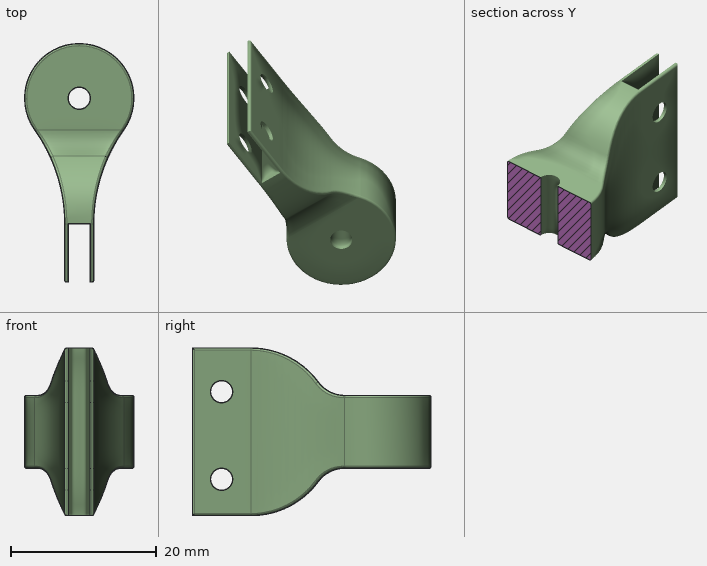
import cadquery as cq
import math

HEAD_RADIUS = 7.5
HEAD_HEIGHT = 10.0
PIVOT_HOLE_DIAMETER = 3.0
FORK_WIDTH = 4.0
FORK_HEIGHT = 23.0
FORK_LENGTH = 8.0
SLOT_WIDTH = 3.0
OVERALL_LENGTH = 32.71
FORK_HOLE_DIAMETER = 3.0
FORK_HOLE_SPACING = 12.0
FORK_HOLE_TOP_INSET = 6.0
EDGE_ROUND = 0.3

END_Y = HEAD_RADIUS - OVERALL_LENGTH
FORK_Y = END_Y + FORK_LENGTH
FORK_HOLE_Y = END_Y + FORK_LENGTH / 2

HALF_WIDTH = FORK_WIDTH / 2
HALF_HEAD_HEIGHT = HEAD_HEIGHT / 2
HALF_FORK_HEIGHT = FORK_HEIGHT / 2
UPPER_HOLE_Z = HALF_FORK_HEIGHT - FORK_HOLE_TOP_INSET
LOWER_HOLE_Z = UPPER_HOLE_Z - FORK_HOLE_SPACING

NECK_RADIUS = (HALF_WIDTH**2 + FORK_Y**2 - HEAD_RADIUS**2) / (2 * (HEAD_RADIUS - HALF_WIDTH))
NECK_ANGLE = math.atan2(-FORK_Y, HALF_WIDTH + NECK_RADIUS)
NECK_CENTER_X = HALF_WIDTH + NECK_RADIUS
NECK_START_X = HEAD_RADIUS * math.cos(NECK_ANGLE)
NECK_START_Y = -HEAD_RADIUS * math.sin(NECK_ANGLE)

SHOULDER_RUN = NECK_START_Y - FORK_Y
BLEND_RADIUS = (SHOULDER_RUN**2 + HALF_HEAD_HEIGHT**2 - HALF_FORK_HEIGHT**2) / (
    2 * (HALF_FORK_HEIGHT - HALF_HEAD_HEIGHT)
)
BLEND_CENTER_Z = HALF_HEAD_HEIGHT + BLEND_RADIUS
BLEND_ANGLE = math.atan2(BLEND_CENTER_Z, SHOULDER_RUN)


def on_arc(center, radius, angle):
    """Point at the given angle (radians) on a circle."""
    return (center[0] + radius * math.cos(angle), center[1] + radius * math.sin(angle))


def plan_solid():
    """Round head narrowing through the neck to the fork, extruded to the full height."""
    neck_mid_angle = math.pi - NECK_ANGLE / 2
    neck_mid_x, neck_mid_y = on_arc((NECK_CENTER_X, FORK_Y), NECK_RADIUS, neck_mid_angle)
    return (
        cq.Workplane("XY", origin=(0, 0, -HALF_FORK_HEIGHT))
        .moveTo(-HALF_WIDTH, END_Y)
        .lineTo(HALF_WIDTH, END_Y)
        .lineTo(HALF_WIDTH, FORK_Y)
        .threePointArc((neck_mid_x, neck_mid_y), (NECK_START_X, NECK_START_Y))
        .threePointArc((0, HEAD_RADIUS), (-NECK_START_X, NECK_START_Y))
        .threePointArc((-neck_mid_x, neck_mid_y), (-HALF_WIDTH, FORK_Y))
        .close()
        .extrude(FORK_HEIGHT)
    )


def side_solid():
    """Side outline: flat head, S-shaped shoulders and tall fork, extruded across the width."""
    shoulder_center = (FORK_Y, 0)
    blend_center = (NECK_START_Y, BLEND_CENTER_Z)
    blend_mid_angle = (BLEND_ANGLE - math.pi - math.pi / 2) / 2
    shoulder_mid_angle = (BLEND_ANGLE + math.pi / 2) / 2

    blend_mid = on_arc(blend_center, BLEND_RADIUS, blend_mid_angle)
    joint = on_arc(shoulder_center, HALF_FORK_HEIGHT, BLEND_ANGLE)
    shoulder_mid = on_arc(shoulder_center, HALF_FORK_HEIGHT, shoulder_mid_angle)

    def below(point):
        """Mirror a (y, z) point across the mid plane."""
        return (point[0], -point[1])

    return (
        cq.Workplane("YZ", origin=(-HEAD_RADIUS, 0, 0))
        .moveTo(HEAD_RADIUS, -HALF_HEAD_HEIGHT)
        .lineTo(HEAD_RADIUS, HALF_HEAD_HEIGHT)
        .lineTo(NECK_START_Y, HALF_HEAD_HEIGHT)
        .threePointArc(blend_mid, joint)
        .threePointArc(shoulder_mid, (FORK_Y, HALF_FORK_HEIGHT))
        .lineTo(END_Y, HALF_FORK_HEIGHT)
        .lineTo(END_Y, -HALF_FORK_HEIGHT)
        .lineTo(FORK_Y, -HALF_FORK_HEIGHT)
        .threePointArc(below(shoulder_mid), below(joint))
        .threePointArc(below(blend_mid), (NECK_START_Y, -HALF_HEAD_HEIGHT))
        .close()
        .extrude(2 * HEAD_RADIUS)
    )


def round_rim(body):
    """Round the head rims, the neck and fork edges, and the upright edges at the fork end."""
    rim_edges = "not (|X or |Z)"
    end_edges = "|Z and <Y"
    return body.edges(f"({rim_edges}) or ({end_edges})").fillet(EDGE_ROUND)


def fork_slot():
    """Slot that splits the fork into two thin cheeks."""
    return cq.Workplane("XY").box(SLOT_WIDTH, FORK_LENGTH, FORK_HEIGHT).translate((0, FORK_HOLE_Y, 0))


def pivot_hole():
    """Upright hole through the centre of the head."""
    return cq.Workplane("XY").circle(PIVOT_HOLE_DIAMETER / 2).extrude(HALF_HEAD_HEIGHT, both=True)


def fork_holes():
    """Two cross holes through both cheeks, set off-centre toward the bottom."""
    return (
        cq.Workplane("YZ")
        .pushPoints([(FORK_HOLE_Y, z) for z in (UPPER_HOLE_Z, LOWER_HOLE_Z)])
        .circle(FORK_HOLE_DIAMETER / 2)
        .extrude(HALF_WIDTH, both=True)
    )


body = round_rim(plan_solid().intersect(side_solid()))
result = body.cut(fork_slot()).cut(pivot_hole()).cut(fork_holes())